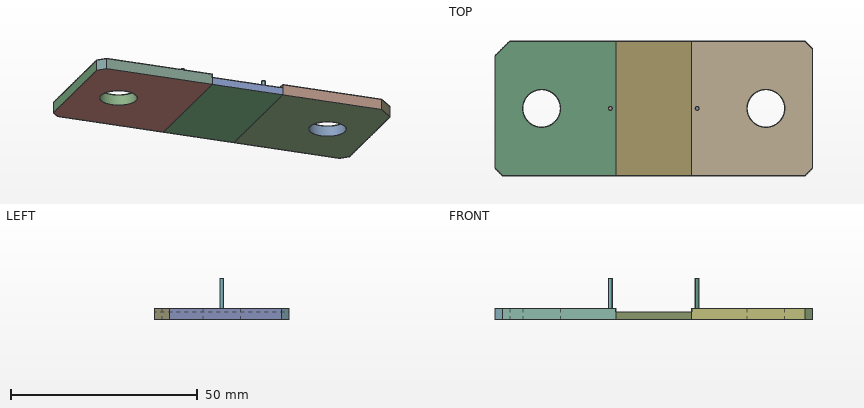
import cadquery as cq

length = 85.0
width = 36.0
overall_height = 11.05

terminal_thickness = 3.0
strip_length = 20.2
strip_thickness = 2.0
terminal_length = (length - strip_length) / 2

small_chamfer = 2.0
large_chamfer = 4.0

bolt_hole_diameter = 10.0
bolt_hole_inset = 12.5

pin_diameter = 1.0
pin_spacing = 23.2
pin_height = overall_height - terminal_thickness


def make_terminal(left_x, hole_x, outer_side, back_chamfer):
    """Flat terminal with two chamfered outer corners and a bolt hole."""
    terminal = (
        cq.Workplane("XY")
        .box(terminal_length, width, terminal_thickness, centered=False)
        .translate((left_x, 0, 0))
    )
    terminal = terminal.faces(outer_side).edges("|Z and <Y").chamfer(small_chamfer)
    terminal = terminal.faces(outer_side).edges("|Z and >Y").chamfer(back_chamfer)
    bolt_hole = (
        cq.Workplane("XY")
        .center(hole_x, width / 2)
        .circle(bolt_hole_diameter / 2)
        .extrude(terminal_thickness)
    )
    return terminal.cut(bolt_hole)


def make_strip():
    """Thin plate joining the terminals, flush with their undersides."""
    return (
        cq.Workplane("XY")
        .box(strip_length, width, strip_thickness, centered=False)
        .translate((terminal_length, 0, 0))
    )


def make_pin(x):
    """Round pin standing on the top face of a terminal."""
    return (
        cq.Workplane("XY", origin=(x, width / 2, terminal_thickness))
        .circle(pin_diameter / 2)
        .extrude(pin_height)
    )


left_terminal = make_terminal(0, bolt_hole_inset, "<X", large_chamfer)
right_terminal = make_terminal(
    length - terminal_length, length - bolt_hole_inset, ">X", small_chamfer
)
strip = make_strip()
pins = [make_pin(length / 2 + side * pin_spacing / 2) for side in (-1, 1)]

result = cq.Compound.makeCompound(
    [left_terminal.val(), right_terminal.val(), strip.val(), *[pin.val() for pin in pins]]
)